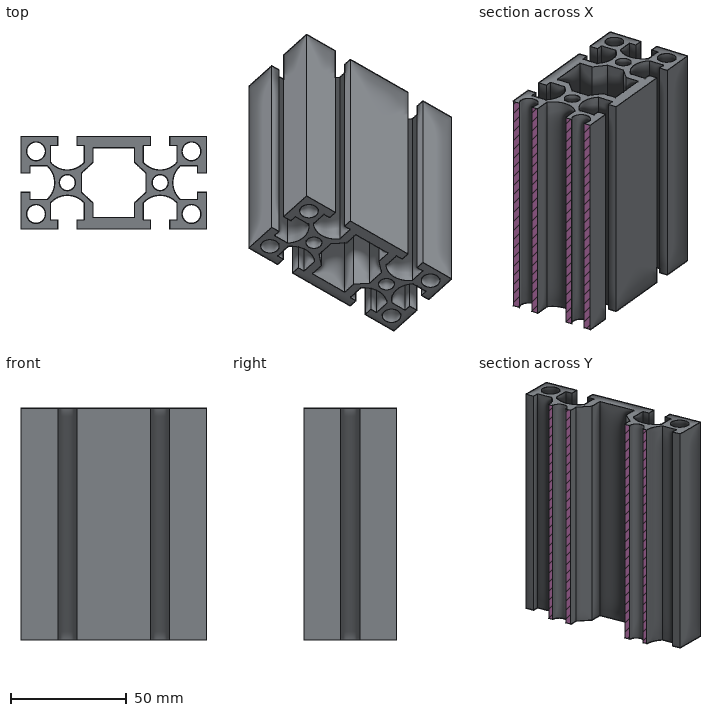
import cadquery as cq

module = 40.0
width = 2 * module
depth = module
length = 100.0

slot_opening = 8.2
lip_thickness = 4.0
slot_inner_width = 14.5
slot_wall_depth = 11.25
slot_floor_depth = 14.5

core_bore_diameter = 6.8
corner_bore_diameter = 8.0
corner_bore_inset = 6.5

hollow_height = 30.0
hollow_width = 17.8
hollow_band_width = 27.8
hollow_band_height = 17.5
hollow_flat_height = 8.2


def make_slot(edge_x, edge_y, turn):
    """T-slot with an arched floor, entering at an edge midpoint; turn 0 opens toward +Y."""
    half_opening = slot_opening / 2
    half_inner = slot_inner_width / 2
    return (
        cq.Workplane("XY")
        .moveTo(-half_opening, 0)
        .lineTo(-half_opening, -lip_thickness)
        .lineTo(-half_inner, -lip_thickness)
        .lineTo(-half_inner, -slot_wall_depth)
        .threePointArc((0, -slot_floor_depth), (half_inner, -slot_wall_depth))
        .lineTo(half_inner, -lip_thickness)
        .lineTo(half_opening, -lip_thickness)
        .lineTo(half_opening, 0)
        .close()
        .extrude(length)
        .rotate((0, 0, 0), (0, 0, 1), turn)
        .translate((edge_x, edge_y, 0))
    )


def make_hollow():
    """Central through hollow, symmetric about both profile axes."""
    half_width = hollow_width / 2
    half_band = hollow_band_width / 2
    right_side = [
        (half_width, hollow_height / 2),
        (half_width, hollow_band_height / 2),
        (half_band, hollow_flat_height / 2),
        (half_band, -hollow_flat_height / 2),
        (half_width, -hollow_band_height / 2),
        (half_width, -hollow_height / 2),
    ]
    left_side = [(-x, -y) for x, y in right_side]
    return cq.Workplane("XY").polyline(right_side + left_side).close().extrude(length)


def make_bores(centers, diameter):
    """Through bores along the length at the given centers."""
    return cq.Workplane("XY").pushPoints(centers).circle(diameter / 2).extrude(length)


core_centers = [(-module / 2, 0), (module / 2, 0)]
corner_x = width / 2 - corner_bore_inset
corner_y = depth / 2 - corner_bore_inset
corner_centers = [(sx * corner_x, sy * corner_y) for sx in (-1, 1) for sy in (-1, 1)]

slot_places = [
    (-width / 2, 0, 90),
    (width / 2, 0, -90),
]
for core_x, _ in core_centers:
    slot_places.append((core_x, depth / 2, 0))
    slot_places.append((core_x, -depth / 2, 180))

result = cq.Workplane("XY").rect(width, depth).extrude(length)
for edge_x, edge_y, turn in slot_places:
    result = result.cut(make_slot(edge_x, edge_y, turn))
result = result.cut(make_hollow())
result = result.cut(make_bores(core_centers, core_bore_diameter))
result = result.cut(make_bores(corner_centers, corner_bore_diameter))